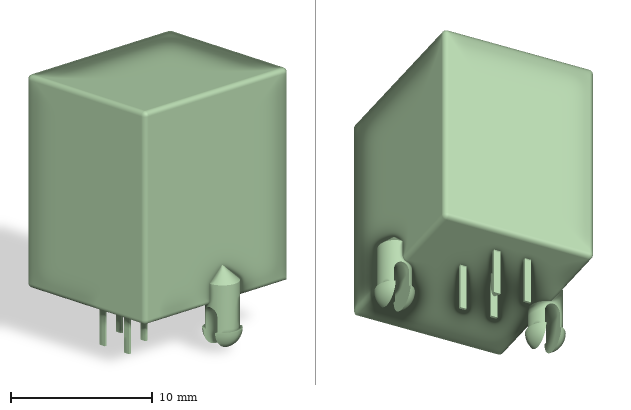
import cadquery as cq

body_width = 11.97
body_depth = 14.3
body_height = 15.93
edge_radius = 0.35

peg_spacing = 11.99
peg_y = 0.55
peg_radius = 1.25
peg_shoulder_z = 1.62
peg_tip_height = 1.13
head_radius = 1.45
head_rim_z = -1.91
slot_width = 1.2
slot_top_z = -0.14

pin_count = 4
pin_pitch = 1.23
pin_width = 0.5
pin_thickness = 0.2
pin_length = 3.6
pin_embed = 0.35
front_row_inset = 2.36
row_spacing = 2.83


def housing():
    """Block with every outer edge rounded except the lower rear one, which stays sharp."""
    block = cq.Workplane("XY").box(body_width, body_depth, body_height, centered=(True, True, False))
    return block.edges("not(<Z and >Y)").fillet(edge_radius)


def peg_solid():
    """Round shank on the Z axis with a pointed top and a half-ball snap head below."""
    profile = (
        cq.Workplane("XZ")
        .moveTo(0, peg_shoulder_z + peg_tip_height)
        .lineTo(peg_radius, peg_shoulder_z)
        .lineTo(peg_radius, head_rim_z)
        .lineTo(head_radius, head_rim_z)
        .radiusArc((0, head_rim_z - head_radius), head_radius)
        .close()
    )
    return profile.revolve(360, (0, 0, 0), (0, 1, 0))


def peg_slot():
    """Round-topped slot that splits the peg into two legs, cut along Y."""
    slot_radius = slot_width / 2
    arc_z = slot_top_z - slot_radius
    bottom_z = head_rim_z - head_radius
    return (
        cq.Workplane("XZ")
        .moveTo(-slot_radius, bottom_z)
        .lineTo(-slot_radius, arc_z)
        .threePointArc((0, slot_top_z), (slot_radius, arc_z))
        .lineTo(slot_radius, bottom_z)
        .close()
        .extrude(head_radius, both=True)
    )


def pin(index):
    """One blade; even-numbered blades stand in the rear row, odd ones in the front row."""
    x = (index - (pin_count - 1) / 2) * pin_pitch
    front_y = -body_depth / 2 + front_row_inset
    y = front_y if index % 2 else front_y + row_spacing
    blade = cq.Workplane("XY", origin=(x, y, pin_embed)).rect(pin_width, pin_thickness)
    return blade.extrude(-(pin_length + pin_embed))


result = housing()

peg = peg_solid().cut(peg_slot())
for side in (-1, 1):
    result = result.union(peg.translate((side * peg_spacing / 2, peg_y, 0)))

for index in range(pin_count):
    result = result.union(pin(index))